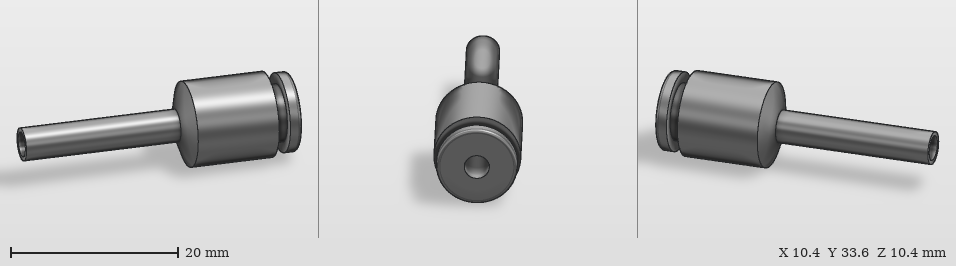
import cadquery as cq

total_length = 33.6
flange_thickness = 1.48
neck_length = 1.5
body_length = 10.1
cone_length = 1.2

body_diameter = 10.4
flange_diameter = 9.68
neck_diameter = 7.05
tube_diameter = 4.0
bore_diameter = 3.0

flange_edge_radius = 0.4

back_y = total_length / 2
tip_y = -total_length / 2
flange_y = back_y - flange_thickness
body_back_y = flange_y - neck_length
body_front_y = body_back_y - body_length
tube_y = body_front_y - cone_length


def cylinder(diameter, start_y, end_y):
    """Solid cylinder on the Y axis between two stations."""
    plane = cq.Workplane("XZ", origin=(0, end_y, 0))
    return plane.circle(diameter / 2).extrude(end_y - start_y)


def body_with_stem():
    """Body, tapered shoulder and tube, revolved about the Y axis."""
    profile = (
        cq.Workplane("XY")
        .moveTo(0, tip_y)
        .lineTo(tube_diameter / 2, tip_y)
        .lineTo(tube_diameter / 2, tube_y)
        .lineTo(body_diameter / 2, body_front_y)
        .lineTo(body_diameter / 2, body_back_y)
        .lineTo(0, body_back_y)
        .close()
    )
    return profile.revolve(360, (0, 0, 0), (0, 1, 0))


def release_flange():
    """Collar disc with a rounded outer edge on its back face."""
    disc = cylinder(flange_diameter, flange_y, back_y)
    return disc.faces(">Y").edges().fillet(flange_edge_radius)


neck = cylinder(neck_diameter, body_back_y, flange_y)
bore = cylinder(bore_diameter, tip_y, back_y)

result = body_with_stem().union(neck).union(release_flange()).cut(bore)